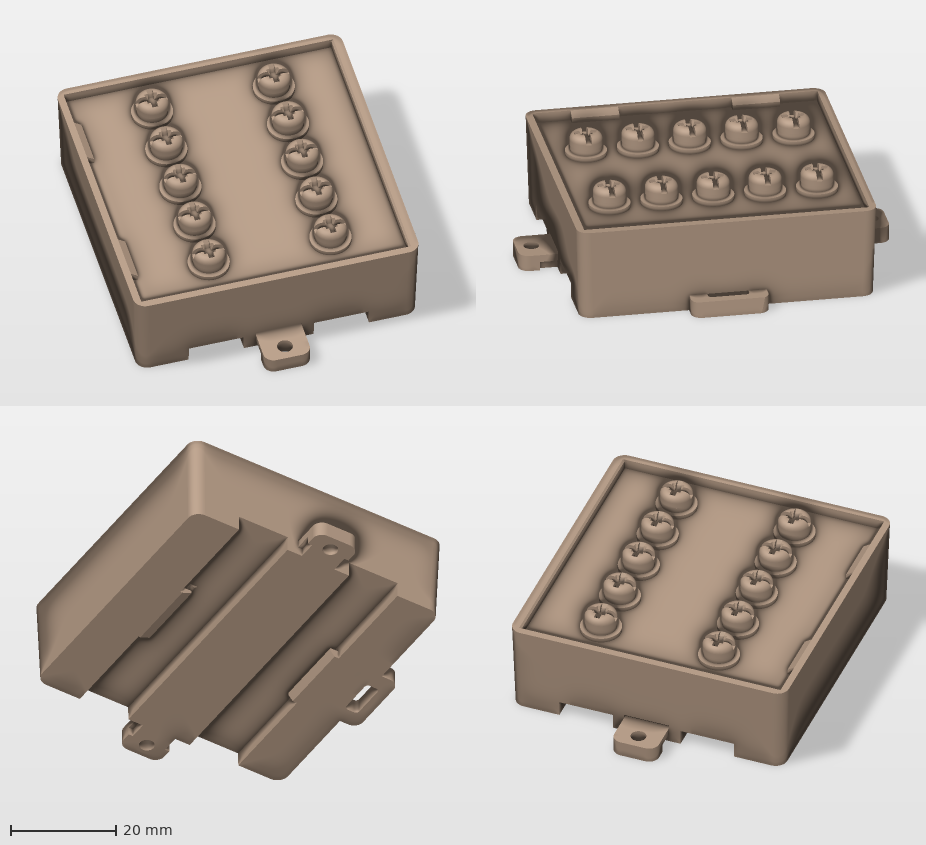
import cadquery as cq
import math

body_x = 56.85
body_y = 55.05
body_height = 18.05
body_draft = 1.7
body_corner_radius = 2.35
body_spread = body_height * math.tan(math.radians(body_draft))

side_wall = 1.4
front_wall = 1.35
back_wall = 2.0
cover_drop = 2.0
cover_thickness = 2.0
recess_draft = 2.6
rim_chamfer = 0.35

snap_x = 15.55
snap_length = 9.2
snap_reach = 1.4
snap_slope_drop = 1.0

rail_y = 0.15
rail_depth = 3.15
rail_slot_inner = 6.9
rail_slot_outer = 17.75
fixed_hook_length = 2.5
fixed_hook_height = 1.4
fixed_hook_tip = 0.6
fixed_hook_root = 0.4
bump_y = -14.75
bump_radius = 0.8
bump_depth = 0.5

ear_span = 71.6
ear_width = 9.1
ear_corner_radius = 2.0
ear_hole_diameter = 3.0
ear_hole_x = 32.8
ear_relief_x = 32.0
ear_relief_height = 1.7
ear_relief_depth = 0.9
ear_root_bevel = 0.65

clip_width = 15.0
clip_end_y = 31.4
clip_end_lean = 0.3
clip_corner_radius = 2.0
clip_lip_length = 1.85
clip_lip_height = 1.7
clip_lip_edge = 1.1
clip_lip_chamfer = 0.9
clip_slot_width = 7.95
clip_slot_end_y = 29.2
clip_slot_length = 2.85
clip_slot_corner_radius = 0.7

screw_pitch = 10.0
screws_per_row = 5
screw_row_pitch = 24.0
screw_rows_y = 0.65
boss_diameter = 8.0
boss_height = 0.85
neck_diameter = 6.1
neck_height = 1.2
head_diameter = 6.3
head_top_z = 20.6
head_round = 1.35
drive_width = 1.15
drive_depth = 1.4
short_slot_length_top = 4.8
short_slot_length_bottom = 2.6
drive_square = 2.35

top_x = body_x + 2 * body_spread
top_y = body_y + 2 * body_spread
recess_x = top_x - 2 * side_wall
recess_front_y = -top_y / 2 + front_wall
recess_back_y = top_y / 2 - back_wall
recess_y = recess_back_y - recess_front_y
recess_center_y = (recess_back_y + recess_front_y) / 2
recess_depth = cover_drop + cover_thickness
cover_top_z = body_height - cover_drop


def block(x_size, y_size, z_low, z_high, x=0.0, y=0.0):
    """Upright box centred on (x, y) between two heights."""
    return cq.Workplane("XY").box(x_size, y_size, z_high - z_low).translate((x, y, (z_low + z_high) / 2))


def bar_along_x(points, length, x=0.0):
    """Straight bar of the given (y, z) outline, centred on x."""
    return cq.Workplane("YZ").polyline(points).close().extrude(length / 2, both=True).translate((x, 0, 0))


def recess_taper(top_z, depth):
    """Drafted block that fills the cover recess downwards from top_z."""
    inset = (body_height - top_z) * math.tan(math.radians(recess_draft))
    return (
        cq.Workplane("XY", origin=(0, recess_center_y, top_z))
        .rect(recess_x - 2 * inset, recess_y - 2 * inset)
        .extrude(-depth, taper=recess_draft)
    )


def housing_shell():
    base_outline = cq.Sketch().rect(body_x, body_y).vertices().fillet(body_corner_radius)
    top_outline = cq.Sketch().rect(top_x, top_y).vertices().fillet(body_corner_radius)
    shell = (
        cq.Workplane("XY")
        .placeSketch(base_outline, top_outline.moved(cq.Location(cq.Vector(0, 0, body_height))))
        .loft()
    )
    rim_bevel = bar_along_x(
        [
            (recess_back_y - rim_chamfer, body_height),
            (recess_back_y + rim_chamfer, body_height),
            (recess_back_y - rim_chamfer, body_height - 2 * rim_chamfer),
        ],
        recess_x,
    )
    return shell.cut(recess_taper(body_height, recess_depth)).cut(rim_bevel)


def snap_nose(x):
    """Wedge on the front wall, sloping down towards the middle and resting on the cover."""
    wall_y = recess_front_y - front_wall / 2
    nose_y = recess_front_y + snap_reach
    outline = [
        (wall_y, cover_top_z),
        (wall_y, body_height),
        (recess_front_y, body_height),
        (nose_y, body_height - snap_slope_drop),
        (nose_y, cover_top_z),
    ]
    return bar_along_x(outline, snap_length, x)


def rail_slots():
    slot_width = rail_slot_outer - rail_slot_inner
    slot_y = (rail_slot_outer + rail_slot_inner) / 2
    front_slot = block(ear_span, slot_width, 0, rail_depth, y=rail_y - slot_y)
    back_slot = block(ear_span, slot_width, 0, rail_depth, y=rail_y + slot_y)
    return front_slot.union(back_slot)


def fixed_hook():
    """Hook on the front side of the rail, as wide as the clip."""
    root_y = rail_y - rail_slot_outer
    tip_y = root_y + fixed_hook_length
    outline = [
        (root_y, 0),
        (root_y, fixed_hook_height),
        (tip_y, fixed_hook_height),
        (tip_y, fixed_hook_height - fixed_hook_tip),
        (root_y + fixed_hook_root, 0),
    ]
    return bar_along_x(outline, clip_width)


def rail_bump():
    """Low rounded rib under the roof of the front rail slot."""
    return (
        cq.Workplane("YZ", origin=(0, rail_y + bump_y, rail_depth + bump_radius - bump_depth))
        .circle(bump_radius)
        .extrude(clip_width / 2, both=True)
    )


def ear(side):
    """Mounting ear on the left (side = -1) or right (side = 1)."""
    root_x = body_x / 2
    inner_x = root_x - 2 * ear_root_bevel
    outer_x = ear_span / 2
    plate = (
        block(outer_x - inner_x, ear_width, 0, rail_depth, (outer_x + inner_x) / 2, rail_y)
        .edges("|Z and >X")
        .fillet(ear_corner_radius)
    )
    relief_length = ear_relief_x - root_x
    for flank in (-1, 1):
        relief_y = rail_y + flank * (ear_width - ear_relief_depth) / 2
        plate = plate.cut(
            block(relief_length, ear_relief_depth, 0, ear_relief_height, root_x + relief_length / 2, relief_y)
        )
    hole = cq.Workplane("XY").center(ear_hole_x, rail_y).circle(ear_hole_diameter / 2).extrude(rail_depth)
    plate = plate.cut(hole)
    return plate if side > 0 else plate.mirror("YZ")


def ear_bevel(side):
    """Sloping cut in the wall just above an ear."""
    wall_x = body_x / 2 + rail_depth * math.tan(math.radians(body_draft))
    outline = [
        (side * (wall_x - ear_root_bevel), rail_depth),
        (side * (wall_x + ear_root_bevel), rail_depth),
        (side * (wall_x + ear_root_bevel), rail_depth + 2 * ear_root_bevel),
    ]
    bevel = cq.Workplane("XZ").polyline(outline).close().extrude(ear_width / 2, both=True)
    return bevel.translate((0, rail_y, 0))


def make_clip():
    """Rail clip: a flat slide with a lip under the rail and a slotted finger tab."""
    slide_y = rail_y + rail_slot_outer
    lip_y = slide_y - clip_lip_length
    side_outline = [
        (lip_y + clip_lip_chamfer, 0),
        (clip_end_y, 0),
        (clip_end_y - clip_end_lean, rail_depth),
        (slide_y, rail_depth),
        (slide_y, clip_lip_height),
        (lip_y, clip_lip_height),
        (lip_y, clip_lip_edge),
    ]
    length = clip_end_y - lip_y
    plan = (
        block(clip_width, length, 0, rail_depth, y=lip_y + length / 2)
        .edges("|Z and >Y")
        .fillet(clip_corner_radius)
    )
    slot = (
        block(clip_slot_width, clip_slot_length, 0, rail_depth, y=clip_slot_end_y - clip_slot_length / 2)
        .edges("|Z")
        .fillet(clip_slot_corner_radius)
    )
    return bar_along_x(side_outline, clip_width).intersect(plan).cut(slot)


def clip_channel():
    """Channel through the back wall that the clip slides in."""
    start_y = rail_y + rail_slot_outer
    return block(clip_width, top_y / 2 - start_y, 0, rail_depth, y=(top_y / 2 + start_y) / 2)


def make_housing():
    housing = housing_shell()
    for x in (-snap_x, snap_x):
        housing = housing.union(snap_nose(x))
    housing = housing.cut(rail_slots()).cut(clip_channel())
    housing = housing.union(fixed_hook()).union(rail_bump())
    for side in (-1, 1):
        housing = housing.cut(ear_bevel(side)).union(ear(side))
    return housing


def screw_drive():
    """Cross drive: a slot right across Y, a shorter tapered slot along X and a tapered square."""
    floor_z = head_top_z - drive_depth
    long_slot = block(drive_width, head_diameter, floor_z, head_top_z)
    short_slot = (
        cq.Workplane("XZ")
        .polyline(
            [
                (-short_slot_length_top / 2, head_top_z),
                (short_slot_length_top / 2, head_top_z),
                (short_slot_length_bottom / 2, floor_z),
                (-short_slot_length_bottom / 2, floor_z),
            ]
        )
        .close()
        .extrude(drive_width / 2, both=True)
    )
    square = (
        cq.Workplane("XY", origin=(0, 0, floor_z))
        .rect(drive_width, drive_width)
        .workplane(offset=drive_depth)
        .rect(drive_square, drive_square)
        .loft()
    )
    return long_slot.union(short_slot).union(square)


def disc(diameter, z_low, z_high):
    """Upright cylinder on the Z axis between two heights."""
    return cq.Workplane("XY", origin=(0, 0, z_low)).circle(diameter / 2).extrude(z_high - z_low)


def make_screw():
    """Screw head on a slightly narrower neck and a wide boss, standing on the cover at the origin."""
    boss_top_z = cover_top_z + boss_height
    neck_top_z = boss_top_z + neck_height
    boss = disc(boss_diameter, cover_top_z, boss_top_z)
    neck = disc(neck_diameter, boss_top_z, neck_top_z)
    head = disc(head_diameter, neck_top_z, head_top_z).faces(">Z").edges().fillet(head_round)
    return boss.union(neck).union(head.cut(screw_drive()))


def make_cover():
    cover = recess_taper(cover_top_z, cover_thickness)
    screw = make_screw()
    for row in (-0.5, 0.5):
        for column in range(screws_per_row):
            x = (column - (screws_per_row - 1) / 2) * screw_pitch
            cover = cover.union(screw.translate((x, screw_rows_y + row * screw_row_pitch, 0)))
    return cover


housing = make_housing()
cover = make_cover()
clip = make_clip()

result = cq.Compound.makeCompound([housing.val(), cover.val(), clip.val()])